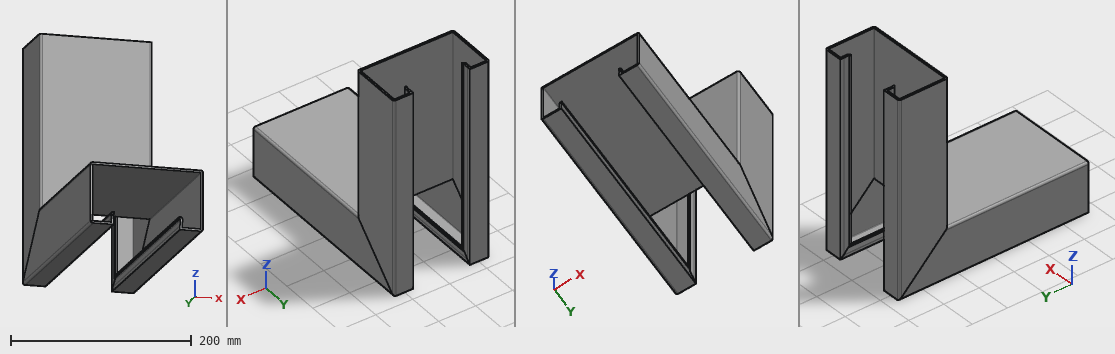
import cadquery as cq
import math

arm_length = 270.0
width = 130.0
depth = 70.0
wall = 2.62
bend_outer = 3.0
bend_inner = bend_outer - wall
slot_width = 75.5
lip_height = 14.8
lip_foot = 4.9
lean_angle = 4.0
lip_lean = math.radians(lean_angle)
curl_outer = 3.5
curl_inner = curl_outer - wall

half_width = width / 2
bend_x = half_width - bend_outer
web_bend_z = depth - bend_outer
tip_x = slot_width / 2
curl_z = lip_height - curl_outer
diagonal = math.sqrt(0.5)


def leaning_x(radius, z):
    """X at height z on the leaning lip face that runs tangent into the curl of the given radius."""
    return tip_x + (radius + (z - curl_z) * math.sin(lip_lean)) / math.cos(lip_lean)


inside_crease_z = wall + lip_foot
outside_crease_z = lip_foot
lip_inside_x = leaning_x(curl_outer, inside_crease_z)
lip_outside_x = leaning_x(curl_inner, outside_crease_z)


def on_web_bend(radius):
    """Middle of the bend between web and side wall."""
    return (bend_x + radius * diagonal, web_bend_z + radius * diagonal)


def on_flange_bend(radius):
    """Middle of the bend between side wall and slotted flange."""
    return (bend_x + radius * diagonal, bend_outer - radius * diagonal)


def on_curl(radius, angle):
    """Point on the lip curl at an angle above horizontal, in radians."""
    return (tip_x + radius * math.cos(angle), curl_z + radius * math.sin(angle))


def half_profile():
    """Closed section of one half of the channel in XZ; flange on the bottom, web on the top."""
    curl_middle = (math.pi / 2 - lip_lean) / 2
    return (
        cq.Workplane("XZ")
        .moveTo(0, depth)
        .lineTo(bend_x, depth)
        .threePointArc(on_web_bend(bend_outer), (half_width, web_bend_z))
        .lineTo(half_width, bend_outer)
        .threePointArc(on_flange_bend(bend_outer), (bend_x, 0))
        .lineTo(lip_outside_x, 0)
        .lineTo(lip_outside_x, outside_crease_z)
        .lineTo(*on_curl(curl_inner, -lip_lean))
        .threePointArc(on_curl(curl_inner, curl_middle), (tip_x, curl_z + curl_inner))
        .lineTo(tip_x, lip_height)
        .threePointArc(on_curl(curl_outer, curl_middle), on_curl(curl_outer, -lip_lean))
        .lineTo(lip_inside_x, inside_crease_z)
        .lineTo(lip_inside_x, wall)
        .lineTo(bend_x, wall)
        .threePointArc(on_flange_bend(bend_inner), (half_width - wall, bend_outer))
        .lineTo(half_width - wall, web_bend_z)
        .threePointArc(on_web_bend(bend_inner), (bend_x, depth - wall))
        .lineTo(0, depth - wall)
        .close()
    )


def straight_channel():
    """Square-ended channel along Y, ending at the outer corner Y = 0."""
    half = half_profile().extrude(arm_length)
    return half.union(half.mirror("YZ"))


def mitre_wedge():
    """Region on the horizontal arm's side of the 45 degree mitre plane Z = -Y."""
    return (
        cq.Workplane("YZ")
        .polyline([(0, 0), (-arm_length, 0), (-arm_length, arm_length)])
        .close()
        .extrude(half_width, both=True)
    )


def horizontal_channel():
    return straight_channel().intersect(mitre_wedge())


def upright_channel():
    """Reflection of the horizontal channel in the mitre plane."""
    flipped = horizontal_channel().mirror("XY")
    return flipped.rotate((0, 0, 0), (1, 0, 0), -90)


horizontal_arm = horizontal_channel()
upright_arm = upright_channel()

result = cq.Compound.makeCompound([horizontal_arm.val(), upright_arm.val()])